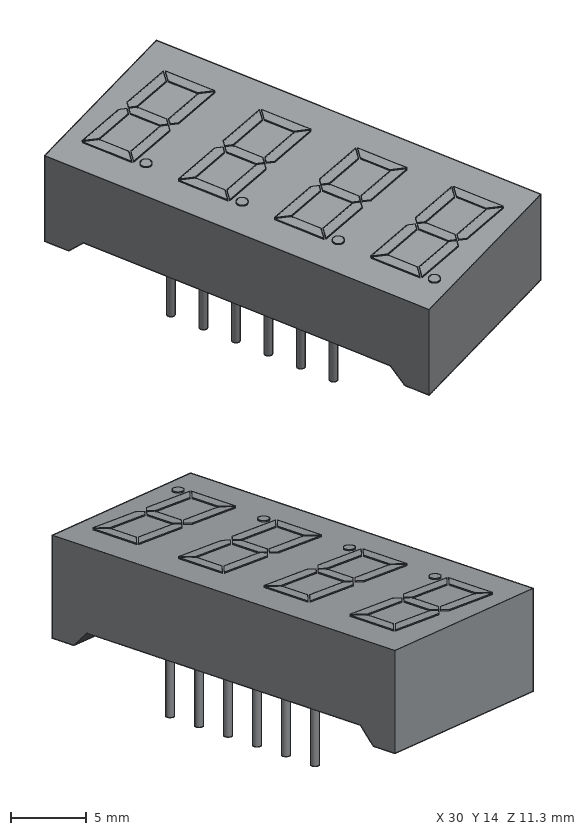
import cadquery as cq
import math

body_length = 30.0
body_width = 14.0
body_height = 7.4
foot_length = 1.9
foot_slope_run = 1.15
foot_height = 1.2

pins_per_row = 6
pin_diameter = 0.6
pin_row_length = 12.7
pin_row_spacing = 10.17
pin_drop = 3.8

digit_count = 4
digit_pitch = 7.5
digit_width = 4.02
digit_height = 9.1
segment_width = 0.78
segment_gap = 0.12
slant_angle = 5.0
raised_height = 0.1
dot_diameter = 0.8
dot_offset = 2.4
dot_drop = 4.17


def make_body():
    """Housing block with the trapezoidal recess between the feet cut through along Y."""
    foot_x = body_length / 2 - foot_length
    recess_x = foot_x - foot_slope_run
    half_length = body_length / 2
    outline = [
        (-half_length, 0),
        (-foot_x, 0),
        (-recess_x, foot_height),
        (recess_x, foot_height),
        (foot_x, 0),
        (half_length, 0),
        (half_length, body_height),
        (-half_length, body_height),
    ]
    return cq.Workplane("XZ").polyline(outline).close().extrude(body_width / 2, both=True)


def make_pins():
    """Round pins hanging from the recess ceiling."""
    pin_pitch = pin_row_length / (pins_per_row - 1)
    return (
        cq.Workplane("XY", origin=(0, 0, -pin_drop))
        .rarray(pin_pitch, pin_row_spacing, pins_per_row, 2)
        .circle(pin_diameter / 2)
        .extrude(pin_drop + foot_height)
    )


def segment_outlines():
    """Outlines of the seven segments of an upright digit centred on the origin."""
    outer_x = digit_width / 2
    outer_y = digit_height / 2
    inner_x = outer_x - segment_width
    inner_y = outer_y - segment_width
    half_bar = segment_width / 2
    joint_x = outer_x - half_bar
    shift = segment_gap / math.sqrt(2)

    top_bar = [
        (-outer_x + shift, outer_y),
        (outer_x - shift, outer_y),
        (inner_x - shift, inner_y),
        (-inner_x + shift, inner_y),
    ]
    upper_right_bar = [
        (outer_x, outer_y - shift),
        (outer_x, half_bar + shift),
        (joint_x, shift),
        (inner_x, half_bar + shift),
        (inner_x, inner_y - shift),
    ]
    middle_bar = [
        (joint_x - shift, 0),
        (inner_x - shift, half_bar),
        (-inner_x + shift, half_bar),
        (-joint_x + shift, 0),
        (-inner_x + shift, -half_bar),
        (inner_x - shift, -half_bar),
    ]
    outlines = [middle_bar]
    for side_y in (1, -1):
        outlines.append([(x, side_y * y) for x, y in top_bar])
        for side_x in (1, -1):
            outlines.append([(side_x * x, side_y * y) for x, y in upper_right_bar])
    return outlines


def make_digit(center_x):
    """One slanted, raised digit with its decimal point."""
    slant = math.tan(math.radians(slant_angle))
    face = cq.Workplane("XY", origin=(center_x, 0, body_height))
    digit = face.center(dot_offset, -dot_drop).circle(dot_diameter / 2).extrude(raised_height)
    for outline in segment_outlines():
        slanted = [(x + slant * y, y) for x, y in outline]
        digit = digit.add(face.polyline(slanted).close().extrude(raised_height))
    return digit.combine()


result = make_body().union(make_pins())
for index in range(digit_count):
    result = result.union(make_digit((index - (digit_count - 1) / 2) * digit_pitch))